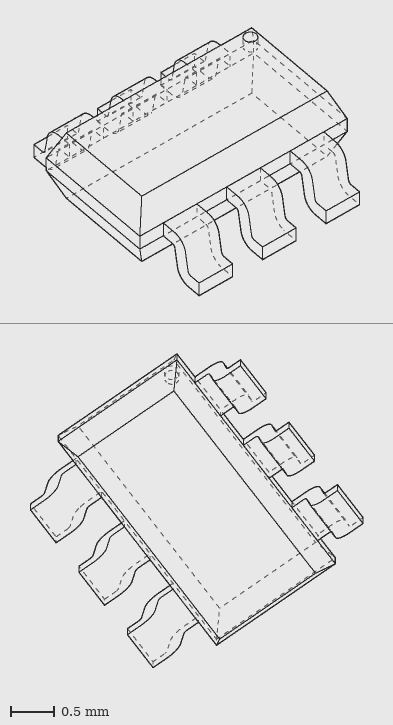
import cadquery as cq
import math

overall_width = 3.0
overall_height = 1.1

housing_width = 1.7
housing_length = 3.1
housing_standoff = 0.06
wall_inset = 0.165

mark_diameter = 0.17
mark_depth = 0.155
mark_edge_distance = 0.112

lead_thickness = 0.205
lead_width = 0.502
lead_pitch = 0.95
leads_per_side = 3
inner_bend_radius = 0.05
outer_bend_radius = 0.2
foot_flat_length = 0.152
leg_lean = math.radians(10)

band_middle = (housing_standoff + overall_height) / 2
band_bottom = band_middle - lead_thickness / 2
band_top = band_middle + lead_thickness / 2

bend_turn = math.pi / 2 - leg_lean
tip_x = overall_width / 2
inner_foot_center = (tip_x - foot_flat_length, lead_thickness + inner_bend_radius)
shoulder_center_z = band_top - outer_bend_radius
bend_spacing = (
    inner_bend_radius + outer_bend_radius
    + (shoulder_center_z - inner_foot_center[1]) * math.sin(leg_lean)
) / math.cos(leg_lean)
outer_shoulder_center = (inner_foot_center[0] - bend_spacing, shoulder_center_z)
center_drop = lead_thickness + inner_bend_radius - outer_bend_radius
center_shift = center_drop * (1 - math.sin(leg_lean)) / math.cos(leg_lean)
inner_shoulder_center = (outer_shoulder_center[0] - center_shift, outer_shoulder_center[1] - center_drop)
outer_foot_center = (inner_foot_center[0] - center_shift, inner_foot_center[1] - center_drop)


def make_housing():
    """Band with a tapered half above and below, and a round mark in the top."""
    slope_height = overall_height - band_top
    taper = math.degrees(math.atan(wall_inset / slope_height))

    def band_outline(height):
        return cq.Workplane("XY", origin=(0, 0, height)).rect(housing_width, housing_length)

    band = band_outline(band_bottom).extrude(lead_thickness)
    upper = band_outline(band_top).extrude(slope_height, taper=taper)
    lower = band_outline(band_bottom).extrude(-slope_height, taper=taper)

    mark_x = -(housing_width / 2 - wall_inset - mark_edge_distance)
    mark_y = housing_length / 2 - wall_inset - mark_edge_distance
    mark = (
        cq.Workplane("XY", origin=(mark_x, mark_y, overall_height))
        .circle(mark_diameter / 2)
        .extrude(-mark_depth)
    )
    return band.union(upper).union(lower).cut(mark)


def shoulder_point(center, radius, turn):
    """Point on a shoulder bend, turned outward from straight up."""
    return (center[0] + radius * math.sin(turn), center[1] + radius * math.cos(turn))


def foot_point(center, radius, turn):
    """Point on a foot bend, turned inward from straight down."""
    return (center[0] - radius * math.sin(turn), center[1] - radius * math.cos(turn))


def make_lead():
    """Gull-wing lead on the +X side, centred on Y = 0."""
    half_turn = bend_turn / 2
    wall_x = housing_width / 2
    return (
        cq.Workplane("XZ")
        .moveTo(wall_x, band_top)
        .lineTo(*shoulder_point(outer_shoulder_center, outer_bend_radius, 0))
        .threePointArc(
            shoulder_point(outer_shoulder_center, outer_bend_radius, half_turn),
            shoulder_point(outer_shoulder_center, outer_bend_radius, bend_turn),
        )
        .lineTo(*foot_point(inner_foot_center, inner_bend_radius, bend_turn))
        .threePointArc(
            foot_point(inner_foot_center, inner_bend_radius, half_turn),
            foot_point(inner_foot_center, inner_bend_radius, 0),
        )
        .lineTo(tip_x, lead_thickness)
        .lineTo(tip_x, 0)
        .lineTo(*foot_point(outer_foot_center, outer_bend_radius, 0))
        .threePointArc(
            foot_point(outer_foot_center, outer_bend_radius, half_turn),
            foot_point(outer_foot_center, outer_bend_radius, bend_turn),
        )
        .lineTo(*shoulder_point(inner_shoulder_center, inner_bend_radius, bend_turn))
        .threePointArc(
            shoulder_point(inner_shoulder_center, inner_bend_radius, half_turn),
            shoulder_point(inner_shoulder_center, inner_bend_radius, 0),
        )
        .lineTo(wall_x, band_bottom)
        .close()
        .extrude(lead_width / 2, both=True)
    )


housing = make_housing()

leads = []
for side_angle in (0, 180):
    side_lead = make_lead().rotate((0, 0, 0), (0, 0, 1), side_angle)
    for index in range(leads_per_side):
        lead_y = (index - (leads_per_side - 1) / 2) * lead_pitch
        leads.append(side_lead.translate((0, lead_y, 0)).val())

result = cq.Compound.makeCompound([housing.val(), *leads])